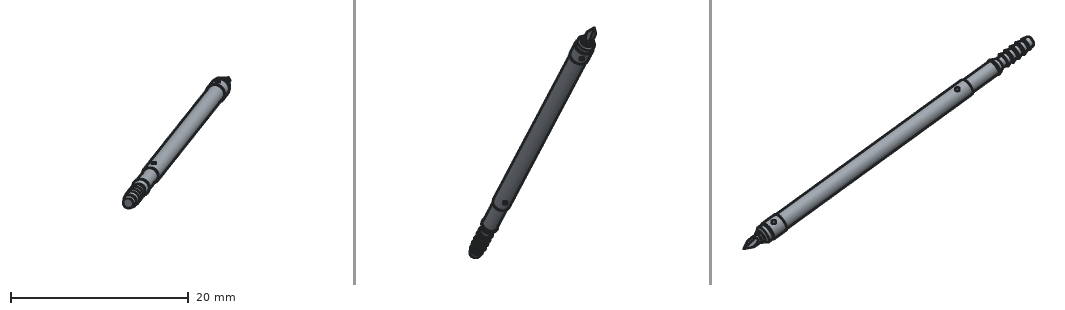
import cadquery as cq

TOTAL_LENGTH = 42.7
TIP_Y = TOTAL_LENGTH / 2

SHANK_RADIUS = 0.5
SIDE_RIDGE_LENGTH = 1.0
TOP_RIDGE_LENGTH = 1.7

RING_START = 2.25
RING_RADIUS = 0.65

HEAD_START = 2.6
HEAD_NOSE_RADIUS = 0.8
HEAD_TAPER_LENGTH = 0.35
BARREL_RADIUS = 1.02
BARREL_END = 33.3
BARREL_END_CHAMFER_LENGTH = 0.25
BARREL_END_CHAMFER_DEPTH = 0.05

COLLAR_RADIUS = 1.1
COLLAR_START = 3.5
COLLAR_TAPER_LENGTH = 0.13
COLLAR_END = 5.5

STEM_RADIUS = 0.9
LIP_START = 37.2
LIP_LENGTH = 0.15
LIP_RADIUS = 1.0
CONE_END = 38.0
CONE_END_RADIUS = 0.7
TAIL_RADIUS = 0.65

BARB_COUNT = 4
FIRST_BARB = 38.7
BARB_PITCH = 0.8
BARB_LENGTH = 0.65
BARB_RADIUS = 0.85
END_BARB_RADIUS = 0.75
END_RADIUS = 0.6

DIMPLE_DIAMETER = 0.5
DIMPLE_DEPTH = 0.1
FRONT_DIMPLE = (COLLAR_START + COLLAR_END) / 2
REAR_DIMPLE = 31.8


def front_corners():
    """Corners of the shank, the guide ring and the tapered head."""
    return [
        (SHANK_RADIUS, 0),
        (SHANK_RADIUS, RING_START),
        (RING_RADIUS, RING_START),
        (RING_RADIUS, HEAD_START),
        (HEAD_NOSE_RADIUS, HEAD_START),
        (BARREL_RADIUS, HEAD_START + HEAD_TAPER_LENGTH),
    ]


def barrel_corners():
    """Corners of the collar, the barrel, the stem and the cone behind it."""
    return [
        (BARREL_RADIUS, COLLAR_START),
        (COLLAR_RADIUS, COLLAR_START + COLLAR_TAPER_LENGTH),
        (COLLAR_RADIUS, COLLAR_END),
        (BARREL_RADIUS, COLLAR_END),
        (BARREL_RADIUS, BARREL_END - BARREL_END_CHAMFER_LENGTH),
        (BARREL_RADIUS - BARREL_END_CHAMFER_DEPTH, BARREL_END),
        (STEM_RADIUS, BARREL_END),
        (STEM_RADIUS, LIP_START),
        (LIP_RADIUS, LIP_START),
        (LIP_RADIUS, LIP_START + LIP_LENGTH),
        (CONE_END_RADIUS, CONE_END),
        (TAIL_RADIUS, CONE_END),
    ]


def tail_corners():
    """Corners of the barbed tail, ending at the rear face."""
    corners = []
    for index in range(BARB_COUNT):
        barb = FIRST_BARB + index * BARB_PITCH
        corners += [
            (TAIL_RADIUS, barb),
            (BARB_RADIUS, barb),
            (TAIL_RADIUS, barb + BARB_LENGTH),
        ]
    end_barb = FIRST_BARB + BARB_COUNT * BARB_PITCH
    corners += [
        (TAIL_RADIUS, end_barb),
        (END_BARB_RADIUS, end_barb),
        (END_RADIUS, TOTAL_LENGTH),
        (0, TOTAL_LENGTH),
    ]
    return corners


def turned_body():
    """Half outline spun around the Y axis."""
    outline = cq.Workplane("XY").moveTo(0, TIP_Y)
    for radius, station in front_corners() + barrel_corners() + tail_corners():
        outline = outline.lineTo(radius, TIP_Y - station)
    return outline.close().revolve(360, (0, 0, 0), (0, 1, 0))


def tip_facet(side, top):
    """Block outside one pyramid face, chosen by its side (+/-X) and its top (+/-Z)."""
    x_slope = SHANK_RADIUS / SIDE_RIDGE_LENGTH
    z_slope = SHANK_RADIUS / TOP_RIDGE_LENGTH
    face = cq.Plane(
        origin=(0, TIP_Y, 0),
        xDir=(side * x_slope, 0, -top * z_slope),
        normal=(side / x_slope, 1, top / z_slope),
    )
    reach = 2 * RING_START
    return cq.Workplane(face).rect(reach, reach).extrude(reach)


def dimple(station, surface_radius, top):
    """Blind round dimple on the top (top = 1) or the bottom (top = -1)."""
    floor = top * (surface_radius - DIMPLE_DEPTH)
    base = cq.Workplane("XY", origin=(0, TIP_Y - station, floor))
    return base.circle(DIMPLE_DIAMETER / 2).extrude(top * 2 * DIMPLE_DEPTH)


result = turned_body()
for top in (1, -1):
    for side in (1, -1):
        result = result.cut(tip_facet(side, top))
    result = result.cut(dimple(FRONT_DIMPLE, COLLAR_RADIUS, top))
    result = result.cut(dimple(REAR_DIMPLE, BARREL_RADIUS, top))